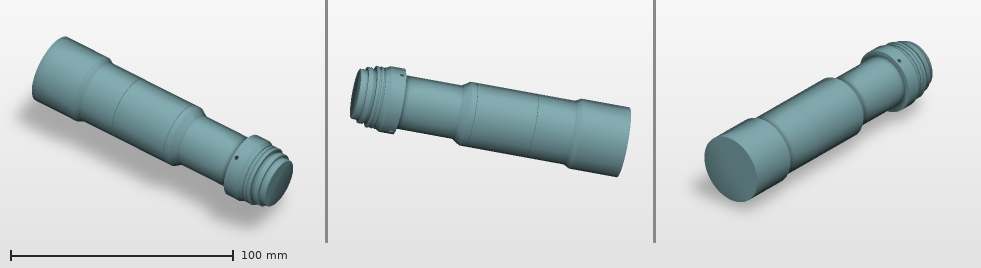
import cadquery as cq

total_length = 123.4

edge_chamfer = 0.2

hood_radius = 32.0 / 2
hood_end = 22.1
hood_cone_end = 24.7
barrel_radius = 14.6

ring_start = 42.3
ring_end = 70.2

rear_cone_start = 73.0
rear_cone_end = 76.6
shaft_radius = 12.2
spigot_radius = 11.5

collar_start = 103.4
collar_radius = 30.0 / 2
collar_cone_start = 109.8
collar_cone_end = 111.5
flange_start = 118.0
flange_end = 120.2
flange_radius = 12.8

land_radius = 14.1
lands_end = 116.4
neck_radius = 12.2
groove_depth = 0.6
groove_width = 0.7
groove_pitch = 1.9
first_groove_start = 112.4
groove_count = 2

hole_count = 3
hole_diameter = 2.0
hole_center_x = 105.3
first_hole_angle = 30.0


def revolved(outline):
    """Turn an outline of (x, radius) points about the X axis into a solid."""
    return cq.Workplane("XZ").polyline(outline).close().revolve(360, (0, 0, 0), (1, 0, 0))


def make_front_barrel():
    return revolved([
        (0, 0),
        (0, hood_radius),
        (hood_end, hood_radius),
        (hood_cone_end, barrel_radius),
        (ring_start, barrel_radius),
        (ring_start, 0),
    ])


def make_focus_ring():
    return revolved([
        (ring_start, 0),
        (ring_start, barrel_radius - edge_chamfer),
        (ring_start + edge_chamfer, barrel_radius),
        (ring_end, barrel_radius),
        (ring_end, 0),
    ])


def make_rear_barrel():
    return revolved([
        (ring_end, 0),
        (ring_end, barrel_radius - edge_chamfer),
        (ring_end + edge_chamfer, barrel_radius),
        (rear_cone_start, barrel_radius),
        (rear_cone_end, shaft_radius),
        (collar_start, shaft_radius),
        (collar_start, spigot_radius),
        (total_length - edge_chamfer, spigot_radius),
        (total_length, spigot_radius - edge_chamfer),
        (total_length, 0),
    ])


def groove_outline(start):
    """Points of one square groove, with the land edges beside it chamfered."""
    end = start + groove_width
    floor_radius = land_radius - groove_depth
    return [
        (start - edge_chamfer, land_radius),
        (start, land_radius - edge_chamfer),
        (start, floor_radius),
        (end, floor_radius),
        (end, land_radius - edge_chamfer),
        (end + edge_chamfer, land_radius),
    ]


def screw_hole(angle):
    """Cutter for one radial hole, turned from +Z toward -Y by the angle."""
    hole = cq.Workplane("XY").center(hole_center_x, 0).circle(hole_diameter / 2).extrude(collar_radius)
    return hole.rotate((0, 0, 0), (1, 0, 0), angle)


def make_collar():
    outline = [
        (collar_start, spigot_radius),
        (collar_start, collar_radius),
        (collar_cone_start, collar_radius),
        (collar_cone_end, land_radius),
    ]
    for index in range(groove_count):
        outline += groove_outline(first_groove_start + index * groove_pitch)
    outline += [
        (lands_end - edge_chamfer, land_radius),
        (lands_end, land_radius - edge_chamfer),
        (lands_end, neck_radius),
        (flange_start, neck_radius),
        (flange_start, flange_radius),
        (flange_end, flange_radius),
        (flange_end, spigot_radius),
    ]
    collar = revolved(outline)
    for index in range(hole_count):
        collar = collar.cut(screw_hole(first_hole_angle + index * 360 / hole_count))
    return collar


front_barrel = make_front_barrel()
focus_ring = make_focus_ring()
rear_barrel = make_rear_barrel()
collar = make_collar()

result = cq.Compound.makeCompound([
    front_barrel.val(),
    focus_ring.val(),
    rear_barrel.val(),
    collar.val(),
])